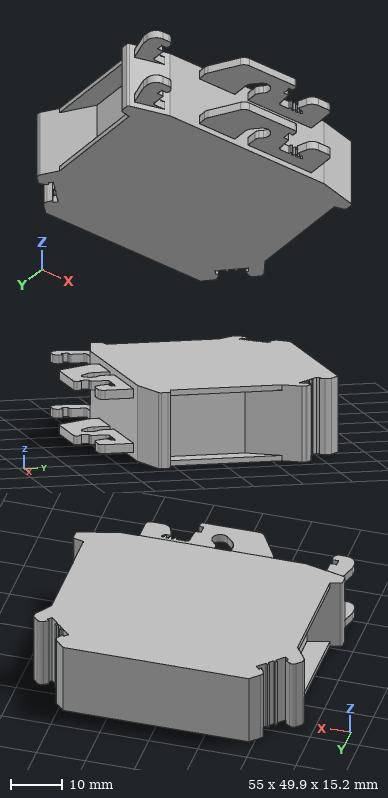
import cadquery as cq
import math

thickness = 15.2
housing_height = 40.55
half_width = 27.5
wall_x = 25.15
wall_top = 27.6
base_half_width = 18.85
base_slope = 0.26
flange_top = 4.4
flange_round = 0.55
shoulder_bottom = 31.1
shoulder_round = 0.35

seat_center = (21.5, 33.75)
seat_half_length = 3.27
lip_tip = 2.7
lip_underside = 1.0
lip_outer = 3.15
rim_height = 2.95
lobe_round = 1.05
bump_offset = 0.9
bump_width = 0.5
bump_height = 0.5

cover_wall = 1.1
recess_top = 21.25

foot_thickness = 1.8
foot_inset = 1.25
foot_root = 2.75

claw_left = -half_width
claw_right = -22.75
claw_bottom = -6.3
claw_lean = 1.4
claw_lean_start = -2.85
claw_web = 0.3
claw_notch_x = -24.15
claw_notch_top = -3.1
claw_notch_bottom = -4.4
claw_heel_round = 2.2
claw_tip_round = 1.1
small_round = 0.2
root_round = 0.5

spring_left = -11.65
spring_right = 15.75
spring_bottom = -9.35
spring_side_end = -2.2
spring_toe_x = -7.4
spring_toe_round = 1.75
spring_side_round = 1.65
rail_edge_x = 5.35
rail_edge_round = 0.55
rail_notch_x = 4.4
rail_notch_bottom = -7.9
rail_notch_top = -6.15
gap_left_bottom = 5.6
gap_left_top = 5.9
gap_ceiling = -2.55
gap_round = 0.55
tooth_count = 3
tooth_pitch = 1.05
tooth_start = 8.35
tooth_height = 0.55
tooth_tip = 0.4
tooth_flank = 0.1
gap_end = (11.5, -2.8)
latch_throat = (11.05, -3.35)
latch_tip = (9.7, -3.65)
latch_toe_x = 10.9
latch_bottom = -6.9
latch_toe_round = 2.1
latch_corner_round = 1.1
slot_left = -2.95
slot_right = 0.3
slot_end = (0.1, -4.9)
slot_bend_round = 2.2
slot_inner_bend_round = 1.1

coincident = 5.5e-07


def rounded_outline(corners):
    """Closed wire through (x, y) corners; a third entry rounds that corner with that radius."""
    points = [corner[:2] for corner in corners]
    count = len(corners)
    stretches = []
    for i, corner in enumerate(corners):
        if len(corner) == 2:
            stretches.append([corner])
            continue
        x, y, radius = corner
        before, after = points[i - 1], points[(i + 1) % count]
        length_in = math.dist(before, (x, y))
        length_out = math.dist(after, (x, y))
        ax, ay = (before[0] - x) / length_in, (before[1] - y) / length_in
        bx, by = (after[0] - x) / length_out, (after[1] - y) / length_out
        half_angle = math.acos(ax * bx + ay * by) / 2
        setback = radius / math.tan(half_angle)
        to_middle = radius / math.sin(half_angle) - radius
        bisector = math.hypot(ax + bx, ay + by)
        stretches.append([
            (x + setback * ax, y + setback * ay),
            (x + to_middle * (ax + bx) / bisector, y + to_middle * (ay + by) / bisector),
            (x + setback * bx, y + setback * by),
        ])

    outline = cq.Workplane("XY").moveTo(*stretches[0][0])
    position = stretches[0][0]
    for stretch in stretches:
        if math.dist(position, stretch[0]) > coincident:
            outline = outline.lineTo(*stretch[0])
        if len(stretch) == 3:
            outline = outline.threePointArc(stretch[1], stretch[2])
        position = stretch[-1]
    return outline.close()


def shoulder_x(y):
    """X of the sloped shoulder line on the +X side at height y."""
    shoulder_slope = (half_width - wall_x) / (shoulder_bottom - wall_top)
    return wall_x + shoulder_slope * (y - wall_top)


def base_y(x):
    """Y of the sloped base edge at distance x from the middle."""
    return base_slope * (x - base_half_width)


def seat_point(along, outward, *radius):
    """Corner in the +X seat frame: along runs down and out, outward leaves the floor."""
    x = seat_center[0] + (along + outward) / math.sqrt(2)
    y = seat_center[1] + (outward - along) / math.sqrt(2)
    return (x, y, *radius)


def mirrored(corners):
    """The same corners on the -X side, in reverse order."""
    return [(-x, *rest) for x, *rest in reversed(corners)]


def housing():
    rim_sum = sum(seat_center) + rim_height * math.sqrt(2)
    lip = [
        (lip_outer, rim_height, lobe_round),
        (lip_tip, lip_underside),
        (seat_half_length, lip_underside),
        (seat_half_length, 0),
    ]
    bump = [
        (bump_offset + bump_width / 2, 0),
        (bump_offset + bump_width / 2, bump_height),
        (bump_offset - bump_width / 2, bump_height),
        (bump_offset - bump_width / 2, 0),
    ]
    half_seat = lip + bump
    right_side = [
        (base_half_width, 0),
        (half_width, base_y(half_width), flange_round),
        (half_width, flange_top, flange_round),
        (wall_x, flange_top + base_slope * (half_width - wall_x)),
        (wall_x, wall_top),
        (half_width, shoulder_bottom, shoulder_round),
        (half_width, rim_sum - half_width, shoulder_round),
        *[seat_point(*corner) for corner in half_seat],
        *[seat_point(*corner) for corner in mirrored(half_seat)],
        (rim_sum - housing_height, housing_height),
    ]
    return rounded_outline(right_side + mirrored(right_side)).extrude(thickness)


def side_recess():
    """Cut on the +X side, leaving a cover wall at each end of the thickness."""
    floor_x = shoulder_x(recess_top)
    flange_inner_y = flange_top + base_slope * (half_width - wall_x)
    outline = [
        (wall_x, flange_inner_y),
        (wall_x, wall_top),
        (floor_x, recess_top),
        (floor_x, flange_inner_y + base_slope * (wall_x - floor_x)),
    ]
    depth = thickness - 2 * cover_wall
    return rounded_outline(outline).extrude(depth).translate((0, 0, cover_wall))


def claw():
    web_end = -(base_half_width + claw_web / base_slope)
    outer_top = claw_left + claw_lean
    return rounded_outline([
        (outer_top, base_y(-outer_top)),
        (claw_left, claw_lean_start),
        (claw_left, claw_bottom, claw_heel_round),
        (claw_right, claw_bottom, claw_tip_round),
        (claw_right, claw_notch_bottom, small_round),
        (claw_notch_x, claw_notch_bottom),
        (claw_notch_x, claw_notch_top),
        (claw_right, claw_notch_top, small_round),
        (claw_right, claw_web, root_round),
        (web_end, claw_web),
        (web_end, foot_root),
    ]).extrude(foot_thickness)


def clamp_teeth():
    corners = []
    for i in range(tooth_count):
        start = tooth_start + i * tooth_pitch
        tip_y = gap_ceiling - tooth_height
        corners += [
            (start, gap_ceiling),
            (start + tooth_flank, tip_y),
            (start + tooth_flank + tooth_tip, tip_y),
            (start + 2 * tooth_flank + tooth_tip, gap_ceiling),
        ]
    return corners


def bent_slot():
    half_slot = (slot_right - slot_left) / 2
    reach = half_slot * math.sqrt(2)
    end_x, end_y = slot_end
    end_sum = end_x + end_y
    return rounded_outline([
        (slot_left, 0),
        (slot_left, end_sum - reach - slot_left, slot_bend_round),
        (end_x, end_y - reach, half_slot),
        (end_x + reach, end_y, half_slot),
        (slot_right, end_sum + reach - slot_right, slot_inner_bend_round),
        (slot_right, 0),
    ]).extrude(foot_thickness)


def spring_foot():
    plate = rounded_outline([
        (spring_left, foot_root),
        (spring_left, spring_side_end, spring_side_round),
        (spring_toe_x, spring_bottom, spring_toe_round),
        (rail_edge_x, spring_bottom, rail_edge_round),
        (rail_edge_x, rail_notch_bottom),
        (rail_notch_x, rail_notch_bottom),
        (rail_notch_x, rail_notch_top),
        (gap_left_bottom, rail_notch_top, small_round),
        (gap_left_top, gap_ceiling, gap_round),
        *clamp_teeth(),
        gap_end,
        latch_throat,
        latch_tip,
        (latch_toe_x, latch_bottom, latch_toe_round),
        (spring_right, latch_bottom, latch_corner_round),
        (spring_right, foot_root),
    ]).extrude(foot_thickness)
    return plate.cut(bent_slot())


recess = side_recess()
result = housing().cut(recess).cut(recess.mirror("YZ"))
feet = claw().union(spring_foot())
for foot_z in (foot_inset, thickness - foot_inset - foot_thickness):
    result = result.union(feet.translate((0, 0, foot_z)))